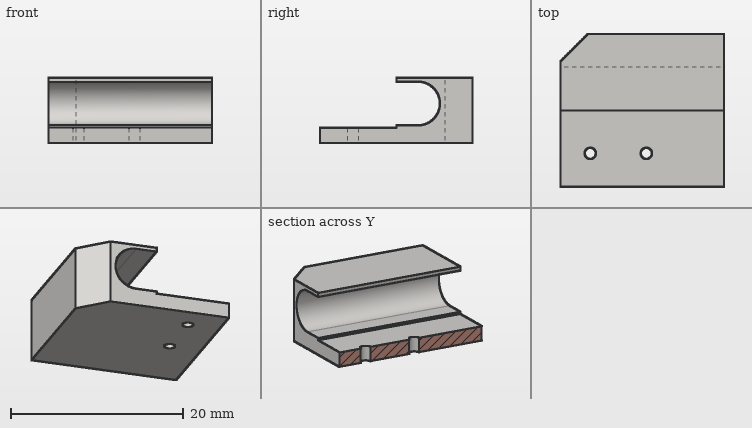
import cadquery as cq

length = 19.05
depth = 17.77
height = 7.62

base_thickness = 1.81
slot_floor = 2.08
lip_thickness = 0.5
lip_front = depth / 2
slot_back = 13.95
slot_ceiling = height - lip_thickness
slot_radius = (slot_ceiling - slot_floor) / 2
slot_arc_start = slot_back - slot_radius

corner_chamfer = 3.22

hole_diameter = 1.28
first_hole_x = 3.49
hole_spacing = 6.52
hole_y = 3.89


def make_body():
    """Extrude the C-shaped YZ profile along X."""
    return (
        cq.Workplane("YZ")
        .moveTo(0, 0)
        .lineTo(depth, 0)
        .lineTo(depth, height)
        .lineTo(lip_front, height)
        .lineTo(lip_front, slot_ceiling)
        .lineTo(slot_arc_start, slot_ceiling)
        .threePointArc((slot_back, slot_floor + slot_radius), (slot_arc_start, slot_floor))
        .lineTo(lip_front, slot_floor)
        .lineTo(lip_front, base_thickness)
        .lineTo(0, base_thickness)
        .close()
        .extrude(length)
    )


def make_holes():
    """Cylinders that cut the two holes through the base."""
    centers = [(first_hole_x + i * hole_spacing, hole_y) for i in range(2)]
    return cq.Workplane("XY").pushPoints(centers).circle(hole_diameter / 2).extrude(base_thickness)


body = make_body().edges("|Z and <X and >Y").chamfer(corner_chamfer)
result = body.cut(make_holes())